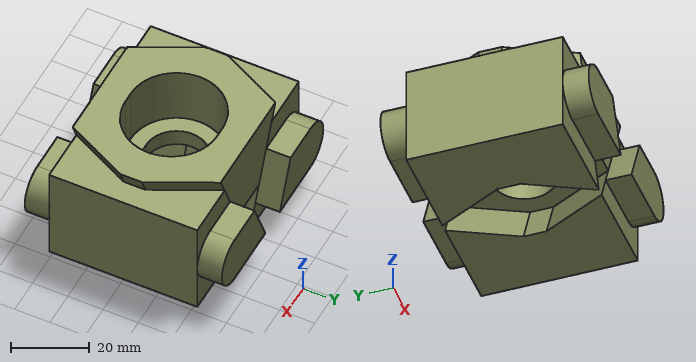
import cadquery as cq

length = 57.0
body_width = 42.05
jaw_height = 28.9

overall_width = 56.0
lug_height = 14.5
lug_radius = lug_height / 2
lug_center_z = jaw_height / 2

top_z = 34.0
wedge_bottom_z = 12.0
wedge_end_half = 15.35
wedge_middle_half = 24.2
wedge_flat_width = 6.2
side_slope = 0.422

slot_straight = 2.85
slot_width = 17.15
counterbore_width = 26.1
counterbore_depth = 17.0


def hexagon_wire(z):
    """Closed wedge outline at height z; every side point moves inward in X alike."""
    inset = side_slope * (top_z - z)
    end_x = wedge_end_half - inset
    middle_x = wedge_middle_half - inset
    end_y = body_width / 2
    flat_y = wedge_flat_width / 2
    right_side = [(end_x, -end_y), (middle_x, -flat_y), (middle_x, flat_y), (end_x, end_y)]
    left_side = [(-x, -y) for x, y in right_side]
    points = [cq.Vector(x, y, z) for x, y in right_side + left_side]
    return cq.Wire.makePolygon(points, close=True)


def tapered_hexagon(bottom_z):
    """Sloping six-sided solid from bottom_z up to the wedge top."""
    return cq.Workplane(cq.Solid.makeLoft([hexagon_wire(bottom_z), hexagon_wire(top_z)], True))


def slot(width, bottom_z):
    """Round-ended slot cutter along X from bottom_z to the wedge top."""
    return (
        cq.Workplane("XY")
        .workplane(offset=bottom_z)
        .slot2D(slot_straight + width, width)
        .extrude(top_z - bottom_z)
    )


def make_wedge():
    return (
        tapered_hexagon(wedge_bottom_z)
        .cut(slot(slot_width, wedge_bottom_z))
        .cut(slot(counterbore_width, top_z - counterbore_depth))
    )


def lug_bar():
    """Bar along Y, rounded on its outer side, whose ends form the two lugs of a jaw."""
    inner_length = length / 2 - lug_radius
    bar = (
        cq.Workplane("XY")
        .box(inner_length, overall_width, lug_height, centered=(False, True, True))
        .translate((0, 0, lug_center_z))
    )
    rounded_side = (
        cq.Workplane("XZ")
        .center(inner_length, lug_center_z)
        .circle(lug_radius)
        .extrude(overall_width / 2, both=True)
    )
    return bar.union(rounded_side)


def end_gap():
    """Sloping gap between the jaws, running the whole width of the lugs."""
    bottom_half = wedge_end_half - side_slope * top_z
    outline = [
        (-bottom_half, 0),
        (bottom_half, 0),
        (wedge_end_half, top_z),
        (-wedge_end_half, top_z),
    ]
    return cq.Workplane("XZ").polyline(outline).close().extrude(overall_width / 2, both=True)


def make_jaw():
    """Jaw on the +X side, recessed to match the wedge."""
    block = cq.Workplane("XY").box(length / 2, body_width, jaw_height, centered=(False, True, False))
    return block.union(lug_bar()).cut(end_gap()).cut(tapered_hexagon(0))


wedge = make_wedge()

jaws = []
for angle in (0, 180):
    jaws.append(make_jaw().rotate((0, 0, 0), (0, 0, 1), angle))

result = cq.Compound.makeCompound([wedge.val(), *[jaw.val() for jaw in jaws]])